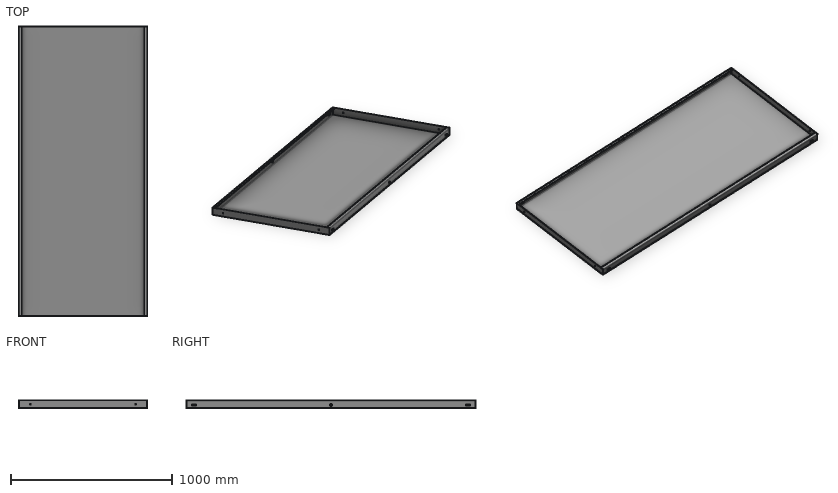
import cadquery as cq

LENGTH_X = 800.0
LENGTH_Y = 1800.0
HEIGHT = 50.0

THICKNESS = 1.5
INNER_RADIUS = 1.5
OUTER_RADIUS = INNER_RADIUS + THICKNESS

LIP_WIDTH = 20.0

END_HOLE_LEVEL = HEIGHT / 2
SIDE_HOLE_LEVEL = 20.0
END_HOLE_DIAMETER = 5.0
END_HOLE_OFFSET = 327.0
SLOT_LENGTH = 25.0
SLOT_HEIGHT = 8.0
SLOT_OFFSET = 850.0
MIDDLE_HOLE_DIAMETER = 12.0


def rounded_prism(width, length, height, radius, edges):
    """Box centred in X and Y, standing on Z = 0, with the chosen edges rounded."""
    return (
        cq.Workplane("XY")
        .box(width, length, height, centered=(True, True, False))
        .edges(edges)
        .fillet(radius)
    )


def tray_shell():
    """Floor, end walls and lipped long walls; the end walls meet the floor squarely inside."""
    inner_x = LENGTH_X - 2 * THICKNESS
    inner_y = LENGTH_Y - 2 * THICKNESS
    inner_height = HEIGHT - 2 * THICKNESS
    outside = rounded_prism(LENGTH_X, LENGTH_Y, HEIGHT, OUTER_RADIUS, "|Y or (|X and <Z)")
    cavity = rounded_prism(inner_x, inner_y, inner_height, INNER_RADIUS, "|Y")
    opening = cq.Workplane("XY", origin=(0, 0, HEIGHT / 2)).box(
        LENGTH_X - 2 * LIP_WIDTH, inner_y, HEIGHT, centered=(True, True, False)
    )
    return outside.cut(cavity.translate((0, 0, THICKNESS))).cut(opening)


def corner_notches():
    """Square reliefs that part the walls at each corner, from the floor up to the lip."""
    centre_x = (LENGTH_X - OUTER_RADIUS) / 2
    centre_y = (LENGTH_Y - OUTER_RADIUS) / 2
    return (
        cq.Workplane("XY")
        .rect(2 * centre_x, 2 * centre_y, forConstruction=True)
        .vertices()
        .rect(OUTER_RADIUS, OUTER_RADIUS)
        .extrude(HEIGHT - THICKNESS)
    )


def end_wall_holes():
    """Two round holes through both end walls."""
    return (
        cq.Workplane("XZ", origin=(0, 0, END_HOLE_LEVEL))
        .pushPoints([(-END_HOLE_OFFSET, 0), (END_HOLE_OFFSET, 0)])
        .circle(END_HOLE_DIAMETER / 2)
        .extrude(LENGTH_Y, both=True)
    )


def long_wall_holes():
    """A slot near each end and a round hole in the middle of both long walls."""
    plane = cq.Workplane("YZ", origin=(0, 0, SIDE_HOLE_LEVEL))
    slots = (
        plane.pushPoints([(-SLOT_OFFSET, 0), (SLOT_OFFSET, 0)])
        .slot2D(SLOT_LENGTH, SLOT_HEIGHT)
        .extrude(LENGTH_X, both=True)
    )
    middle_hole = plane.circle(MIDDLE_HOLE_DIAMETER / 2).extrude(LENGTH_X, both=True)
    return slots.union(middle_hole)


result = tray_shell().cut(corner_notches()).cut(end_wall_holes()).cut(long_wall_holes())